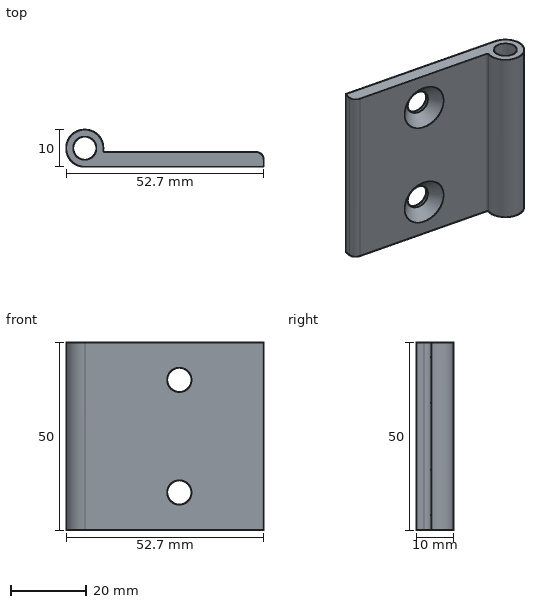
import cadquery as cq

leaf_height = 50.0
barrel_diameter = 10.0
pin_bore_diameter = 6.1
overall_length = 52.7
plate_thickness = 4.0
free_edge_back_radius = 2.0
free_edge_front_radius = 0.3
barrel_root_radius = 0.3

screw_hole_diameter = 6.4
screw_head_diameter = 12.4
countersink_angle = 90.0
screw_hole_edge_distance = 22.5
screw_hole_spacing = 30.0

barrel_radius = barrel_diameter / 2
plate_end = overall_length - barrel_radius
plate_front = -barrel_radius
plate_back = plate_front + plate_thickness
root_x = (barrel_radius**2 - plate_back**2) ** 0.5
screw_hole_x = plate_end - screw_hole_edge_distance


def make_leaf():
    profile = (
        cq.Workplane("XY", origin=(0, 0, -leaf_height / 2))
        .moveTo(0, plate_front)
        .lineTo(plate_end, plate_front)
        .lineTo(plate_end, plate_back)
        .lineTo(root_x, plate_back)
        .threePointArc((0, barrel_radius), (-barrel_radius, 0))
        .radiusArc((0, plate_front), -barrel_radius)
        .close()
    )
    return profile.extrude(leaf_height)


def round_upright_edge(leaf, x, y, radius):
    nearest = cq.selectors.NearestToPointSelector((x, y, 0))
    return leaf.edges("|Z").edges(nearest).fillet(radius)


def bore_pin_hole(leaf):
    return leaf.faces(">Z").workplane(origin=(0, 0, 0)).hole(pin_bore_diameter)


def drill_screw_holes(leaf):
    back = cq.Plane(origin=(screw_hole_x, plate_back, 0), xDir=(0, 0, 1), normal=(0, 1, 0))
    offset = screw_hole_spacing / 2
    return (
        cq.Workplane(back)
        .add(leaf)
        .pushPoints([(-offset, 0), (offset, 0)])
        .cskHole(screw_hole_diameter, screw_head_diameter, countersink_angle, plate_thickness)
    )


result = make_leaf()
result = round_upright_edge(result, plate_end, plate_back, free_edge_back_radius)
result = round_upright_edge(result, plate_end, plate_front, free_edge_front_radius)
result = round_upright_edge(result, root_x, plate_back, barrel_root_radius)
result = bore_pin_hole(result)
result = drill_screw_holes(result)